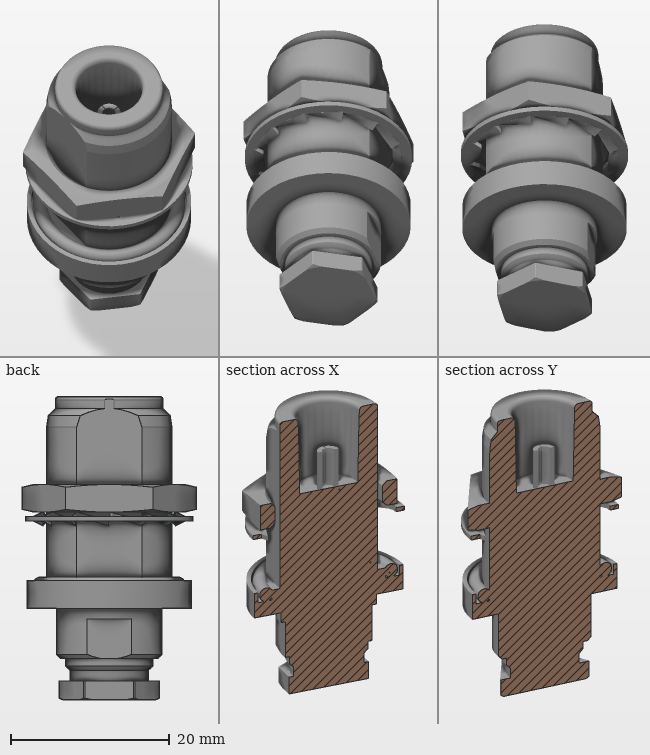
import cadquery as cq
import math

overall_height = 38.22

clamp_across_flats = 11.0
clamp_corner_radius = 6.3
clamp_height = 2.4
clamp_chamfer_radius = 5.85
clamp_chamfer_height = 0.23

neck_radius = 4.93
neck_top = 3.7
collar_radius = 5.5
collar_cone_top = neck_top + collar_radius - neck_radius
collar_top = 5.2

barrel_radius = 6.65
barrel_chamfer = 0.55
barrel_flat_distance = 6.05
barrel_flat_top = 10.15

flange_radius = 10.35
flange_bottom = 11.55
flange_top = 15.02
groove_radius = 9.8
groove_floor = 13.65
ring_radius = 8.65
ring_section_radius = 0.95
ring_center_z = 14.52

thread_radius = 7.9
thread_top = 34.4
shoulder_radius = 7.7
shoulder_bottom = 35.8
shoulder_top = 36.7
thread_flat_distance = 6.75
nose_mark_half_width = 0.6
nose_radius = math.hypot(thread_flat_distance, nose_mark_half_width)
nose_edge_radius = 0.45

mouth_fillet = 0.6
bore_entry_radius = 4.2
bore_floor_radius = 4.0
bore_floor = 27.7

contact_radius = 1.45
contact_hole_radius = 0.8
contact_top = 32.87
contact_slot_width = 0.15

nut_corner_diameter = 21.95
nut_bottom = 23.65
nut_top = 27.15
nut_face_radius = nut_corner_diameter / 2 * math.cos(math.pi / 6)
nut_corner_chamfer = 0.35
nut_bore_radius = 7.4
nut_bore_chamfer = 0.6

washer_diameter = 21.1
washer_bottom = 22.5
washer_thickness = 0.6
washer_inner_radius = 9.25
tooth_count = 12
tooth_pitch = 360 / tooth_count
tooth_gap_angle = 1.0
tooth_tip_radius = 8.37
tooth_root_radius = 9.5
tooth_twist_rise = 0.57


def revolve_profile(profile):
    """Revolve a closed (radius, z) wire drawn in XZ about the Z axis."""
    return profile.close().revolve(360, (0, 0, 0), (0, 1, 0))


def outline(points):
    return cq.Workplane("XZ").polyline(points)


def disk(radius, bottom, top):
    return cq.Workplane("XY").workplane(offset=bottom).circle(radius).extrude(top - bottom)


def hexagon(corner_diameter, bottom, top):
    """Hexagonal prism with two corners on the X axis."""
    return cq.Workplane("XY").workplane(offset=bottom).polygon(6, corner_diameter).extrude(top - bottom)


def slab(flat_distance, bottom, top):
    """Block between two flats facing -Y and +Y, wider than the part in X."""
    return (
        cq.Workplane("XY")
        .workplane(offset=bottom)
        .rect(2 * nut_corner_diameter, 2 * flat_distance)
        .extrude(top - bottom)
    )


def make_clamp_nut():
    envelope = revolve_profile(outline([
        (0, 0),
        (clamp_chamfer_radius, 0),
        (clamp_corner_radius, clamp_chamfer_height),
        (clamp_corner_radius, clamp_height),
        (0, clamp_height),
    ]))
    corner_diameter = clamp_across_flats / math.cos(math.pi / 6)
    return hexagon(corner_diameter, 0, clamp_height).intersect(envelope)


def make_rear_barrel():
    neck = revolve_profile(outline([
        (0, clamp_height),
        (neck_radius, clamp_height),
        (neck_radius, neck_top),
        (collar_radius, collar_cone_top),
        (collar_radius, collar_top),
        (0, collar_top),
    ]))
    barrel = revolve_profile(outline([
        (0, collar_top),
        (barrel_radius - barrel_chamfer, collar_top),
        (barrel_radius, collar_top + barrel_chamfer),
        (barrel_radius, flange_bottom),
        (0, flange_bottom),
    ]))
    full_section = disk(barrel_radius, barrel_flat_top, flange_bottom)
    flatted = slab(barrel_flat_distance, collar_top, flange_bottom)
    return neck.union(barrel.intersect(flatted.union(full_section)))


def make_flange():
    groove = disk(groove_radius, groove_floor, flange_top).cut(disk(thread_radius, groove_floor, flange_top))
    ring = (
        cq.Workplane("XZ")
        .center(ring_radius, ring_center_z)
        .circle(ring_section_radius)
        .revolve(360, (-ring_radius, 0, 0), (-ring_radius, 1, 0))
    )
    return disk(flange_radius, flange_bottom, flange_top).cut(groove).union(ring)


def make_threaded_barrel():
    edge_start = overall_height - nose_edge_radius
    arc_inset = nose_edge_radius * (1 - math.sqrt(0.5))
    barrel = revolve_profile(
        outline([
            (0, flange_top),
            (thread_radius, flange_top),
            (thread_radius, thread_top),
            (shoulder_radius, shoulder_bottom),
            (nose_radius, shoulder_top),
            (nose_radius, edge_start),
        ])
        .threePointArc(
            (nose_radius - arc_inset, overall_height - arc_inset),
            (nose_radius - nose_edge_radius, overall_height),
        )
        .lineTo(0, overall_height)
    )
    return barrel.intersect(slab(thread_flat_distance, flange_top, overall_height))


def make_socket_bore():
    mouth_radius = bore_entry_radius + mouth_fillet
    arc_inset = mouth_fillet * (1 - math.sqrt(0.5))
    return revolve_profile(
        outline([
            (0, bore_floor),
            (bore_floor_radius, bore_floor),
            (bore_entry_radius, overall_height - mouth_fillet),
        ])
        .threePointArc(
            (bore_entry_radius + arc_inset, overall_height - arc_inset),
            (mouth_radius, overall_height),
        )
        .lineTo(0, overall_height)
    )


def make_contact():
    contact = disk(contact_radius, bore_floor, contact_top)
    contact = contact.cut(disk(contact_hole_radius, bore_floor, contact_top))
    slot = (
        cq.Workplane("XY")
        .workplane(offset=bore_floor)
        .rect(2 * contact_radius, contact_slot_width)
        .extrude(contact_top - bore_floor)
    )
    for angle in (0, 90):
        contact = contact.cut(slot.rotate((0, 0, 0), (0, 0, 1), angle))
    return contact


def make_panel_nut():
    corner_radius = nut_corner_diameter / 2
    envelope = revolve_profile(outline([
        (nut_bore_radius, nut_bottom + nut_bore_chamfer),
        (nut_bore_radius + nut_bore_chamfer, nut_bottom),
        (nut_face_radius, nut_bottom),
        (corner_radius, nut_bottom + nut_corner_chamfer),
        (corner_radius, nut_top - nut_corner_chamfer),
        (nut_face_radius, nut_top),
        (nut_bore_radius + nut_bore_chamfer, nut_top),
        (nut_bore_radius, nut_top - nut_bore_chamfer),
    ]))
    return hexagon(nut_corner_diameter, nut_bottom, nut_top).intersect(envelope)


def make_tooth():
    """Tooth on the +X side, flat at its root and twisted towards its inner tip."""
    half_angle = math.radians((tooth_pitch - tooth_gap_angle) / 2)
    washer_top = washer_bottom + washer_thickness

    def section(corner_radius, rise):
        half_width = corner_radius * math.sin(half_angle)
        return [
            (-half_width, washer_bottom + rise),
            (half_width, washer_bottom - rise),
            (half_width, washer_top - rise),
            (-half_width, washer_top + rise),
        ]

    tip_x = tooth_tip_radius * math.cos(half_angle)
    root_x = tooth_root_radius * math.cos(half_angle)
    return (
        cq.Workplane("YZ")
        .workplane(offset=tip_x)
        .polyline(section(tooth_tip_radius, tooth_twist_rise))
        .close()
        .workplane(offset=root_x - tip_x)
        .polyline(section(tooth_root_radius, 0))
        .close()
        .loft(ruled=True)
    )


def make_lock_washer():
    washer_top = washer_bottom + washer_thickness
    washer = disk(washer_diameter / 2, washer_bottom, washer_top)
    washer = washer.cut(disk(washer_inner_radius, washer_bottom, washer_top))
    tooth = make_tooth()
    for index in range(tooth_count):
        angle = (index + 0.5) * tooth_pitch
        washer = washer.union(tooth.rotate((0, 0, 0), (0, 0, 1), angle))
    return washer


result = (
    make_clamp_nut()
    .union(make_rear_barrel())
    .union(make_flange())
    .union(make_threaded_barrel())
    .cut(make_socket_bore())
    .union(make_contact())
    .union(make_panel_nut())
    .union(make_lock_washer())
)